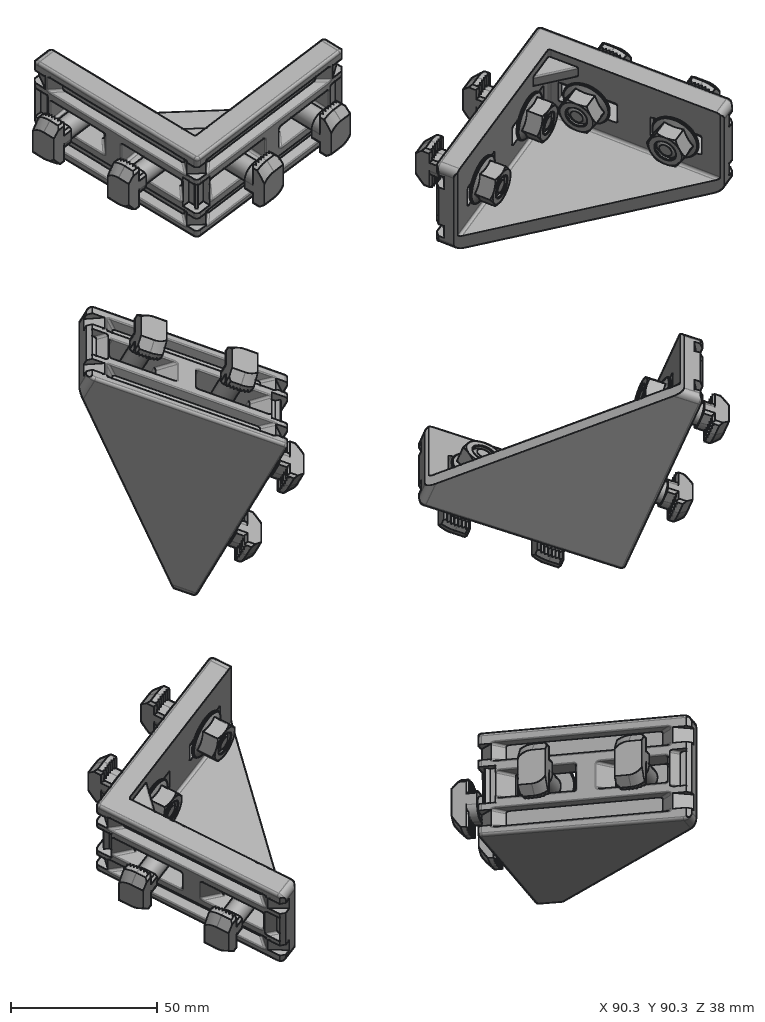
import cadquery as cq
import math


LEG = 75.9
HEIGHT = 38.0
WALL = 8.4
END_FLAT = 7.4
END_CHAMFER = 1.5
CORNER_FILLET = 1.5
END_FILLET = 2.7
FACE_FILLET = 1.1
WEB_THICKNESS = 6.1
WEB_TILT = 0.8
POCKET_FILLET = 1.1
INNER_CORNER_FILLET = 0.7
OVERCUT = 1.8

GUSSET_SIDE = 19.8
GUSSET_LOW, GUSSET_HIGH = 10.5, 15.4
GUSSET_TOP_FILLET = 0.5
GUSSET_BOTTOM_FILLET = 1.0
GUSSET_ROOT = 1.1

SLOTS = [(12.1, 35.0), (47.8, 67.7)]
SLOT_HEIGHT = 9.0
SLOT_RAMP = 5.7
RAMP_FILLET = 0.9
MOUTH_FILLET = 0.45
SIDE_DRAFT = 0.45

GROOVE_Z = 11.9
GROOVE_WIDTH = 5.9
GROOVE_DEPTH = 3.7
GROOVE_FLOOR = (9.2, 65.0)
GROOVE_MOUTH = (4.5, 69.1)
NOTCH_WIDTH = 5.7
NOTCH_START = 69.6
CORNER_NOTCH = 5.2

RECESS_HEIGHT = 13.4
RECESS_DEPTH = 3.0
END_RECESS_FLOOR = (71.4, LEG - END_CHAMFER)
END_RECESS_MOUTH = 68.45
CORNER_RECESS_FLOOR = (3.9, 6.5)
RIDGE = (2.4, 1.8)

BOLT_PLACES = (23.4, 57.8)
SHANK_DIAMETER = 8.0
TIP_DIAMETER = 4.9
TIP_HEIGHT = 1.0
TIP_RECESS = 0.3
NECK_START = 5.3
HEAD_START = 8.4
HEAD_END = 14.4
HEAD_WIDTH = 9.75
HEAD_LENGTH = 18.7
HEAD_BEVEL = 3.25
HEAD_CHAMFER = 1.0
TOOTH_PITCH = 1.35
TOOTH_DEPTH = 0.8
TEETH = 7

NUT_HEIGHT = 8.0
NUT_FLATS = 12.9
NUT_BEVEL_ANGLE = 30
NUT_COUNTERSINK = 0.3
FLANGE_DIAMETER = 18.0
FLANGE_CHAMFER = 0.4
FLANGE_RIM = 1.0
FLANGE_HEIGHT = 2.0

half_height = HEIGHT / 2
hypotenuse_sum = LEG + END_FLAT


def both_legs(cutter):
    """A leg's cutting shape and its mirror image for the other leg."""
    return [cutter, cutter.mirror((1, 1, 0))]


def prism(points, low, high):
    return cq.Workplane("XY").workplane(offset=low).polyline(points).close().extrude(high - low)


def plan_slice(points, height, middle=0):
    return prism(points, middle - height / 2, middle + height / 2)


def along_web(section):
    """Prism along the sloping edge, from a section of (distance towards the corner, z) points."""
    origin = (-LEG - LEG, END_FLAT - LEG, 0)
    plane = cq.Plane(origin=origin, xDir=(1, -1, 0), normal=(-1, -1, 0))
    return cq.Workplane(plane).polyline(section).close().extrude(-4 * LEG)


def tilted(z, distance):
    """Height of a web surface that starts at z on the sloping edge."""
    return z + distance * math.tan(math.radians(WEB_TILT))


def bracket_blank():
    outline = [
        (-LEG, END_CHAMFER),
        (END_CHAMFER - LEG, 0),
        (0, 0),
        (0, LEG - END_CHAMFER),
        (-END_CHAMFER, LEG),
        (-END_FLAT, LEG),
        (-LEG, END_FLAT),
    ]
    blank = prism(outline, -half_height, half_height)
    bottom = -half_height
    below_web = along_web([(0, bottom), (LEG, tilted(bottom, LEG)), (LEG, bottom)])
    blank = blank.cut(below_web)
    blank = blank.faces("<X or >Y").edges("not |Z").fillet(END_FILLET)
    blank = blank.faces("<Y").edges(">X and |Z").fillet(CORNER_FILLET)
    return blank.faces("<Y or >X").edges("not |Z").edges("not(<X or >Y)").fillet(FACE_FILLET)


def inner_pocket():
    inner = hypotenuse_sum - WALL + OVERCUT
    triangle = [(-WALL, WALL), (-WALL, inner), (-inner, WALL)]
    floor = WEB_THICKNESS - half_height
    above_floor = along_web([(-LEG, tilted(floor, -LEG)), (LEG, tilted(floor, LEG)), (LEG, LEG), (-LEG, LEG)])
    triangle_prism = prism(triangle, -half_height, half_height + OVERCUT)
    triangle_prism = triangle_prism.edges(">(1,-1,0)").fillet(INNER_CORNER_FILLET)
    pocket = triangle_prism.intersect(above_floor)
    return pocket.faces("<Z").edges().fillet(POCKET_FILLET)


def drafted_slice(points, depth, height, middle=0):
    """Slice with both sides leaning outward towards the leg's outer face, and rounded ends."""
    floor = height / 2
    mouth = floor + SIDE_DRAFT * (depth + OVERCUT) / depth
    section = [(depth, -floor), (depth, floor), (-OVERCUT, mouth), (-OVERCUT, -mouth)]
    sides = cq.Workplane("YZ").polyline(section).close().extrude(-LEG).translate((0, 0, middle))
    body = plan_slice(points, 4 * mouth, middle).intersect(sides)
    return body.edges("not (|X or |Z)").fillet(RAMP_FILLET)


def slot_cutter(near, far):
    depth = WALL + OVERCUT
    profile = [
        (-far, -OVERCUT),
        (-far, depth),
        (-near, depth),
        (-near, SLOT_RAMP),
        (SLOT_RAMP + OVERCUT - near, -OVERCUT),
    ]
    return drafted_slice(profile, depth, SLOT_HEIGHT)


def groove_cutter(side):
    near_floor, far_floor = GROOVE_FLOOR
    near_mouth, far_mouth = GROOVE_MOUTH
    near_run = (near_floor - near_mouth) * OVERCUT / GROOVE_DEPTH
    far_run = (far_mouth - far_floor) * OVERCUT / GROOVE_DEPTH
    profile = [
        (-far_mouth - far_run, -OVERCUT),
        (-far_floor, GROOVE_DEPTH),
        (-near_floor, GROOVE_DEPTH),
        (near_run - near_mouth, -OVERCUT),
    ]
    return drafted_slice(profile, GROOVE_DEPTH, GROOVE_WIDTH, side * GROOVE_Z)


def end_notch_cutter(side):
    profile = [(-NOTCH_START, 0), (-LEG, GROOVE_DEPTH), (-LEG, 0)]
    return plan_slice(profile, NOTCH_WIDTH, side * GROOVE_Z)


def corner_notch_cutter(side):
    profile = [(-CORNER_NOTCH, 0), (0, CORNER_NOTCH), (0, 0)]
    return plan_slice(profile, NOTCH_WIDTH, side * GROOVE_Z)


def end_recess_cutter():
    near, far = END_RECESS_FLOOR
    profile = [(-far, 0), (-far, RECESS_DEPTH), (-near, RECESS_DEPTH), (-END_RECESS_MOUTH, 0)]
    recess = plan_slice(profile, RECESS_HEIGHT)
    return recess.faces(">X").edges("not |Z").fillet(RAMP_FILLET)


def corner_recess_cutter():
    near, far = CORNER_RECESS_FLOOR
    half = [(-far, 0), (-far, RECESS_DEPTH), (-near, RECESS_DEPTH), (-RIDGE[0], RIDGE[1])]
    mirrored_half = [(-y, -x) for x, y in reversed(half)]
    return plan_slice(half + mirrored_half + [(0, 0)], RECESS_HEIGHT)


def cut_all(body, cutters):
    for cutter in cutters:
        body = body.cut(cutter)
    return body


def make_bracket():
    bracket = bracket_blank().cut(inner_pocket())

    slots = [slot_cutter(near, far) for near, far in SLOTS]
    grooves = [groove_cutter(side) for side in (-1, 1)]
    for cutter in slots + grooves:
        bracket = cut_all(bracket, both_legs(cutter))
    mouths = [wire for face in bracket.faces("<Y or >X").vals() for wire in face.innerWires()]
    bracket = bracket.newObject([edge for wire in mouths for edge in wire.Edges()]).fillet(MOUTH_FILLET)

    for side in (-1, 1):
        bracket = cut_all(bracket, both_legs(end_notch_cutter(side)))
        bracket = bracket.cut(corner_notch_cutter(side))
    bracket = cut_all(bracket, both_legs(end_recess_cutter()))
    bracket = bracket.cut(corner_recess_cutter())
    return bracket.union(make_gusset())


def make_gusset():
    """Triangular rib across the inner corner, let into both legs."""
    root = WALL - GUSSET_ROOT
    tip = GUSSET_SIDE + GUSSET_ROOT
    triangle = [(-root, root), (-root, tip), (-tip, root)]
    gusset = prism(triangle, GUSSET_LOW, GUSSET_HIGH)
    gusset = gusset.faces("<(1,-1,0)").edges(">Z").fillet(GUSSET_TOP_FILLET)
    return gusset.faces("<(1,-1,0)").edges("<Z").fillet(GUSSET_BOTTOM_FILLET)


def revolved(profile):
    """Solid of revolution about the Y axis."""
    return cq.Workplane("XY").polyline(profile).close().revolve(360, (0, 0, 0), (0, 1, 0))


def half_turned(right_half):
    """Block of the bolt's width, square in two opposite quadrants and turned in the other two."""
    left_half = [(-across, y) for across, y in reversed(right_half[1:-1])]
    section = cq.Workplane("ZY").polyline(right_half + left_half).close()
    square = section.extrude(HEAD_WIDTH / 2, both=True).edges("|Y").chamfer(HEAD_CHAMFER)

    envelope = revolved(right_half)
    for sign in (-1, 1):
        quadrant = cq.Workplane("XY").box(HEAD_LENGTH, 2 * HEAD_END, HEAD_LENGTH)
        offset = sign * HEAD_LENGTH / 2
        envelope = envelope.union(quadrant.translate((offset, -HEAD_END, offset)))
    return square.intersect(envelope)


def tooth_groove(place):
    groove = [
        (place - TOOTH_PITCH / 2, -HEAD_START),
        (place, -HEAD_START - TOOTH_DEPTH),
        (place + TOOTH_PITCH / 2, -HEAD_START),
    ]
    return cq.Workplane("XY").polyline(groove).close().extrude(HEAD_LENGTH, both=True)


def t_head():
    """Bevelled T-head with teeth under its arms."""
    half_length = HEAD_LENGTH / 2
    head = half_turned([
        (0, -HEAD_START),
        (half_length, -HEAD_START),
        (half_length, HEAD_BEVEL - HEAD_END),
        (half_length - HEAD_BEVEL, -HEAD_END),
        (0, -HEAD_END),
    ])
    first_groove = -TEETH / 2 * TOOTH_PITCH
    for number in range(TEETH + 1):
        head = head.cut(tooth_groove(first_groove + number * TOOTH_PITCH))
    return head


def neck():
    """Neck between shank and head, reaching down to the bottom of the tooth grooves."""
    half_width = HEAD_WIDTH / 2
    bottom = HEAD_START + TOOTH_DEPTH
    return half_turned([(0, -NECK_START), (half_width, -NECK_START), (half_width, -bottom), (0, -bottom)])


def make_bolt():
    shank_radius = SHANK_DIAMETER / 2
    tip_radius = TIP_DIAMETER / 2
    tip = WALL + NUT_HEIGHT - TIP_RECESS
    outline = [
        (0, -HEAD_START),
        (shank_radius, -HEAD_START),
        (shank_radius, tip - TIP_HEIGHT),
        (tip_radius, tip),
        (0, tip),
    ]
    return t_head().union(neck()).union(revolved(outline))


def make_nut():
    bore = SHANK_DIAMETER / 2
    flats = NUT_FLATS / 2
    corners = flats / math.cos(math.pi / 6)
    slope = math.tan(math.radians(NUT_BEVEL_ANGLE))
    flange = FLANGE_DIAMETER / 2
    top = WALL + NUT_HEIGHT

    hexagon = cq.Workplane("XZ").polygon(6, 2 * corners).extrude(-top)
    bevel_limit = [
        (bore, WALL),
        (corners, WALL),
        (corners, top - (corners - flats) * slope),
        (flats, top),
        (bore + NUT_COUNTERSINK, top),
        (bore, top - NUT_COUNTERSINK),
    ]
    flange_profile = [
        (bore, WALL),
        (flange - FLANGE_CHAMFER, WALL),
        (flange, WALL + FLANGE_CHAMFER),
        (flange, WALL + FLANGE_RIM - FLANGE_CHAMFER),
        (flange - FLANGE_CHAMFER, WALL + FLANGE_RIM),
        (flats, WALL + FLANGE_HEIGHT),
        (bore, WALL + FLANGE_HEIGHT),
    ]
    return hexagon.intersect(revolved(bevel_limit)).union(revolved(flange_profile))


def placed(fastener):
    """Copies of a fastener at every place on both legs."""
    copies = []
    for place in BOLT_PLACES:
        copies.append(fastener.translate((-place, 0, 0)).val())
        copies.append(fastener.translate((place, 0, 0)).rotate((0, 0, 0), (0, 0, 1), 90).val())
    return copies


bracket = make_bracket()
bolts = placed(make_bolt())
nuts = placed(make_nut())

result = cq.Compound.makeCompound([bracket.val(), *bolts, *nuts])